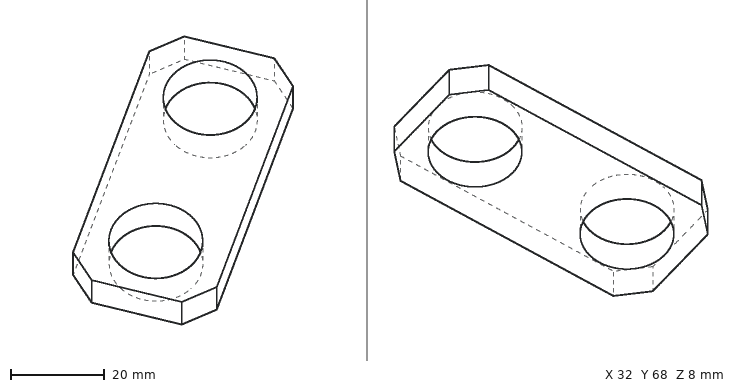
import cadquery as cq

length = 68.0
width = 32.0
thickness = 8.0
corner_chamfer = 6.0

hole_diameter = 20.0
hole_spacing = 2 * hole_diameter

plate = cq.Workplane("XY").box(width, length, thickness)
plate = plate.edges("|Z").chamfer(corner_chamfer)

hole_centres = [(0, -hole_spacing / 2), (0, hole_spacing / 2)]
result = plate.faces(">Z").workplane().pushPoints(hole_centres).hole(hole_diameter)